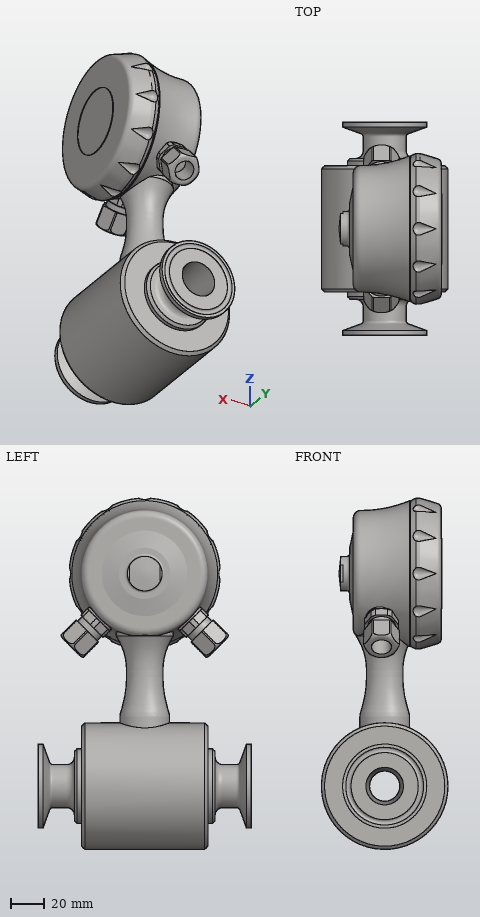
import cadquery as cq
import math

BODY_R = 76.1 / 2
BODY_HALF_LENGTH = 38.0
BODY_CHAMFER = 2.0

PIPE_HALF_LENGTH = 128.0 / 2
PIPE_R = 26.0 / 2
BORE_R = 18.0 / 2
BORE_MOUTH_R = 22.5 / 2

COLLAR_R = 45.0 / 2
COLLAR_Y = 42.3
COLLAR_CHAMFER = 1.7
COLLAR_BLEND_R = 4.5

FERRULE_R = 50.5 / 2
FERRULE_RIM = 3.0
FERRULE_ANGLE = math.radians(20)
FERRULE_BLEND_R = 2.0
SEAL_GROOVE_R = 43.5 / 2
SEAL_GROOVE_HALF_WIDTH = 1.6
SEAL_GROOVE_DEPTH = 1.3

NECK_BASE_R = 30.0 / 2
NECK_WAIST_R = 22.0 / 2
NECK_BASE_TOP_Z = 41.6
NECK_TAPER_BOTTOM_Z = 44.4
NECK_TAPER_TOP_Z = 48.6
NECK_WAIST_BOTTOM_Z = 65.2
NECK_WAIST_TOP_Z = 69.6
NECK_TAPER_TOP_R = 13.3
NECK_FLARE_R = 37.0
NECK_FLARE_TOP_R = 17.2

HEAD_Z = 127.55
HEAD_BACK_X = -18.9
HEAD_R = 38.0
HEAD_EDGE_R = 4.6
HEAD_FLARE_X = 14.9
HEAD_FLARE_R = 43.8
BACK_CONE_R = 25.7
BACK_FLAT_X = -21.1
BACK_FLAT_R = 15.4

CAP_GAP = 0.7
CAP_GAP_DEPTH = 0.8
CAP_LAND_R = 45.4
CAP_LAND_START_X = 18.7
CAP_LAND_END_X = 21.3
CAP_END_X = 34.0
CAP_END_R = 41.4
CAP_EDGE_R = 3.3
WINDOW_R = 21.0
WINDOW_X = 34.5

PLUG_R = 20.8 / 2
PLUG_RIM_X = -26.4
PLUG_TIP_X = -27.5
PLUG_BLEND_R = 1.6
PLUG_FLAT_Y = 9.1
PLUG_FLAT_X = -25.1

GRIP_COUNT = 12
GRIP_BALL_R = 4.15
GRIP_BALL_X = 20.5
GRIP_BALL_RADIAL = 46.9
GRIP_POINT_X = 30.7
GRIP_POINT_DEPTH = 0.1

GLAND_X = -1.9
GLAND_ANGLE = 45.0
HEX_FLATS = 19.0
GLAND_START = 48.7
GLAND_LENGTH = 13.6
GLAND_CORNER_R = 21.4 / 2
GLAND_EDGE_R = 3.0
GLAND_HOLE_R = 12.0 / 2
SLEEVE_R = 16.69 / 2
LOCKNUT_START = 39.2
LOCKNUT_END = 44.8
LOCKNUT_CORNER_R = 20.4 / 2
GLAND_ROOT = 30.0

ORIGIN = (0, 0, 0)


def revolve_about_y(profile):
    """Revolve an XY profile, drawn as (radius, y), about the pipe axis."""
    return profile.close().revolve(360, ORIGIN, (0, 1, 0))


def make_body():
    base = cq.Workplane("XZ").workplane(offset=-BODY_HALF_LENGTH)
    return base.circle(BODY_R).extrude(2 * BODY_HALF_LENGTH).faces("|Y").chamfer(BODY_CHAMFER)


def make_pipe_end():
    """Collar, pipe stub and clamp ferrule on the +Y side."""
    cone_slope = math.tan(FERRULE_ANGLE)
    rim_y = PIPE_HALF_LENGTH - FERRULE_RIM
    blend_r = PIPE_R + FERRULE_BLEND_R * (1 - math.sin(FERRULE_ANGLE))
    blend_y = rim_y - (FERRULE_R - blend_r) * cone_slope
    pipe_end_y = blend_y - FERRULE_BLEND_R * math.cos(FERRULE_ANGLE)
    half_turn = (math.pi / 2 - FERRULE_ANGLE) / 2
    mid_r = PIPE_R + FERRULE_BLEND_R * (1 - math.cos(half_turn))
    mid_y = pipe_end_y + FERRULE_BLEND_R * math.sin(half_turn)
    profile = (
        cq.Workplane("XY")
        .lineTo(COLLAR_R, 0)
        .lineTo(COLLAR_R, COLLAR_Y - COLLAR_CHAMFER)
        .lineTo(COLLAR_R - COLLAR_CHAMFER, COLLAR_Y)
        .lineTo(PIPE_R + COLLAR_BLEND_R, COLLAR_Y)
        .radiusArc((PIPE_R, COLLAR_Y + COLLAR_BLEND_R), COLLAR_BLEND_R)
        .lineTo(PIPE_R, pipe_end_y)
        .threePointArc((mid_r, mid_y), (blend_r, blend_y))
        .lineTo(FERRULE_R, rim_y)
        .lineTo(FERRULE_R, PIPE_HALF_LENGTH)
        .lineTo(0, PIPE_HALF_LENGTH)
    )
    groove = (
        cq.Workplane("XY")
        .moveTo(SEAL_GROOVE_R - SEAL_GROOVE_HALF_WIDTH, PIPE_HALF_LENGTH)
        .threePointArc(
            (SEAL_GROOVE_R, PIPE_HALF_LENGTH - SEAL_GROOVE_DEPTH),
            (SEAL_GROOVE_R + SEAL_GROOVE_HALF_WIDTH, PIPE_HALF_LENGTH),
        )
    )
    return revolve_about_y(profile).cut(revolve_about_y(groove))


def make_bore():
    """Half of the bore: straight inside the body, widening evenly to the ferrule face."""
    profile = (
        cq.Workplane("XY")
        .lineTo(BORE_R, 0)
        .lineTo(BORE_R, BODY_HALF_LENGTH)
        .lineTo(BORE_MOUTH_R, PIPE_HALF_LENGTH)
        .lineTo(0, PIPE_HALF_LENGTH)
    )
    return revolve_about_y(profile)


def mirror_in_xz(shape):
    return shape.union(shape.mirror("XZ"))


def make_neck():
    """Waisted neck joining the body to the head."""
    flare_rise = NECK_FLARE_TOP_R - NECK_WAIST_R
    flare_top_z = NECK_WAIST_TOP_Z + math.sqrt(NECK_FLARE_R**2 - (NECK_FLARE_R - flare_rise) ** 2)
    arc_angle = 2 * math.atan2(NECK_TAPER_TOP_R - NECK_WAIST_R, NECK_WAIST_BOTTOM_Z - NECK_TAPER_TOP_Z)
    taper_bottom_r = NECK_TAPER_TOP_R + (NECK_TAPER_TOP_Z - NECK_TAPER_BOTTOM_Z) * math.tan(arc_angle)
    profile = (
        cq.Workplane("XZ")
        .lineTo(NECK_BASE_R, 0)
        .lineTo(NECK_BASE_R, NECK_BASE_TOP_Z)
        .tangentArcPoint((taper_bottom_r, NECK_TAPER_BOTTOM_Z), relative=False)
        .lineTo(NECK_TAPER_TOP_R, NECK_TAPER_TOP_Z)
        .tangentArcPoint((NECK_WAIST_R, NECK_WAIST_BOTTOM_Z), relative=False)
        .lineTo(NECK_WAIST_R, NECK_WAIST_TOP_Z)
        .radiusArc((NECK_FLARE_TOP_R, flare_top_z), NECK_FLARE_R)
        .lineTo(NECK_FLARE_TOP_R, HEAD_Z)
        .lineTo(0, HEAD_Z)
    )
    return profile.close().revolve(360, ORIGIN, (0, 1, 0))


def revolve_about_x(profile):
    """Revolve an (x, radius) profile about X and lift it to the head axis."""
    return profile.close().revolve(360, ORIGIN, (1, 0, 0)).translate((0, 0, HEAD_Z))


def make_head_shell():
    edge_x = HEAD_BACK_X + HEAD_EDGE_R
    flare_run = HEAD_FLARE_X - edge_x
    flare_rise = HEAD_FLARE_R - HEAD_R
    flare_arc_r = (flare_run**2 + flare_rise**2) / (2 * flare_rise)
    cap_x = HEAD_FLARE_X + CAP_GAP
    profile = (
        cq.Workplane("XY")
        .moveTo(BACK_FLAT_X, 0)
        .lineTo(BACK_FLAT_X, BACK_FLAT_R)
        .lineTo(HEAD_BACK_X, BACK_CONE_R)
        .lineTo(HEAD_BACK_X, HEAD_R - HEAD_EDGE_R)
        .radiusArc((edge_x, HEAD_R), HEAD_EDGE_R)
        .radiusArc((HEAD_FLARE_X, HEAD_FLARE_R), -flare_arc_r)
        .lineTo(HEAD_FLARE_X, HEAD_FLARE_R - CAP_GAP_DEPTH)
        .lineTo(cap_x, HEAD_FLARE_R - CAP_GAP_DEPTH)
        .lineTo(cap_x, HEAD_FLARE_R)
        .lineTo(CAP_LAND_START_X, CAP_LAND_R)
        .lineTo(CAP_LAND_END_X, CAP_LAND_R)
        .lineTo(CAP_END_X, CAP_END_R)
        .lineTo(CAP_END_X, 0)
    )
    window = cq.Workplane("YZ", origin=(0, 0, HEAD_Z)).circle(WINDOW_R).extrude(WINDOW_X)
    return revolve_about_x(profile).faces(">X").edges().fillet(CAP_EDGE_R).union(window)


def make_plug():
    """Plug in the back of the head, with a shallow point and two wrench flats."""
    profile = (
        cq.Workplane("XY")
        .moveTo(PLUG_TIP_X, 0)
        .lineTo(PLUG_RIM_X, PLUG_R)
        .lineTo(BACK_FLAT_X - PLUG_BLEND_R, PLUG_R)
        .radiusArc((BACK_FLAT_X, PLUG_R + PLUG_BLEND_R), -PLUG_BLEND_R)
        .lineTo(0, PLUG_R + PLUG_BLEND_R)
        .lineTo(0, 0)
    )
    plug = revolve_about_x(profile)
    flat_length = PLUG_FLAT_X - PLUG_TIP_X
    flat_x = (PLUG_FLAT_X + PLUG_TIP_X) / 2
    for side in (-1, 1):
        cutter = cq.Workplane("XY").box(flat_length, PLUG_R, 2 * PLUG_R)
        plug = plug.cut(cutter.translate((flat_x, side * (PLUG_FLAT_Y + PLUG_R / 2), HEAD_Z)))
    return plug


def make_grip_cutter():
    """Teardrop cutter: a ball with the cone that is tangent to it and ends on the cap taper."""
    taper = (CAP_LAND_R - CAP_END_R) / (CAP_END_X - CAP_LAND_END_X)
    point_radial = CAP_LAND_R - (GRIP_POINT_X - CAP_LAND_END_X) * taper - GRIP_POINT_DEPTH
    run = GRIP_POINT_X - GRIP_BALL_X
    rise = point_radial - GRIP_BALL_RADIAL
    length = math.hypot(run, rise)
    tangent_x = GRIP_BALL_R**2 / length
    tangent_r = math.sqrt(GRIP_BALL_R**2 - tangent_x**2)
    profile = (
        cq.Workplane("XY")
        .moveTo(-GRIP_BALL_R, 0)
        .threePointArc((0, GRIP_BALL_R), (tangent_x, tangent_r))
        .lineTo(length, 0)
        .close()
    )
    cutter = profile.revolve(360, ORIGIN, (1, 0, 0))
    tilt = math.degrees(math.atan2(-rise, run))
    cutter = cutter.rotate(ORIGIN, (0, 1, 0), tilt)
    return cutter.translate((GRIP_BALL_X, 0, GRIP_BALL_RADIAL))


def cut_grips(head):
    head = head.rotate((0, 0, HEAD_Z), (1, 0, HEAD_Z), 180 / GRIP_COUNT)
    cutter = make_grip_cutter()
    for index in range(GRIP_COUNT):
        turned = cutter.rotate(ORIGIN, (1, 0, 0), index * 360 / GRIP_COUNT)
        head = head.cut(turned.translate((0, 0, HEAD_Z)))
    return head


def make_cylinder(start, end, radius):
    """Cylinder along -Z between two distances from the origin."""
    return cq.Workplane("XY").workplane(offset=-end).circle(radius).extrude(end - start)


def make_hex(start, end):
    """Hexagon prism along -Z between two distances from the origin."""
    across_corners = HEX_FLATS / math.cos(math.pi / 6)
    return cq.Workplane("XY").workplane(offset=-end).polygon(6, across_corners).extrude(end - start)


def make_gland(side):
    """Cable gland on one side of the head; built pointing down, then swung out about X."""
    gland_end = GLAND_START + GLAND_LENGTH
    blank = make_cylinder(GLAND_START, gland_end, GLAND_CORNER_R)
    nut = make_hex(GLAND_START, gland_end).intersect(blank.faces("<Z").edges().fillet(GLAND_EDGE_R))
    hole = make_cylinder(GLAND_START, gland_end, GLAND_HOLE_R)
    locknut_blank = make_cylinder(LOCKNUT_START, LOCKNUT_END, LOCKNUT_CORNER_R)
    locknut = make_hex(LOCKNUT_START, LOCKNUT_END).intersect(locknut_blank)
    sleeve = make_cylinder(GLAND_ROOT, GLAND_START, SLEEVE_R)
    root = make_cylinder(GLAND_ROOT, LOCKNUT_START, HEX_FLATS / 2)
    gland = nut.cut(hole).union(sleeve).union(locknut).union(root)
    return gland.rotate(ORIGIN, (1, 0, 0), side * GLAND_ANGLE).translate((GLAND_X, 0, HEAD_Z))


bore = mirror_in_xz(make_bore())
meter = make_body().union(mirror_in_xz(make_pipe_end())).cut(bore)
neck = make_neck().cut(bore)
head = cut_grips(make_head_shell()).union(make_plug())
result = meter.union(neck).union(head)
for side in (-1, 1):
    result = result.union(make_gland(side))